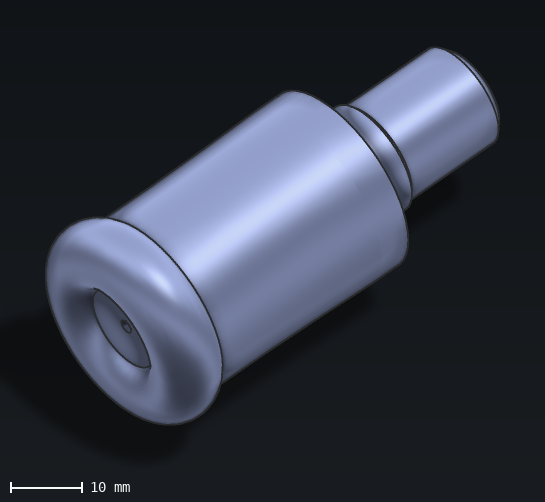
import cadquery as cq
import math

length = 67.0

lip_radius = 16.0
lip_section_radius = 5.0
lip_ring_radius = lip_radius - lip_section_radius

dish_radius = 6.35
dish_depth = 0.6
centre_hole_radius = 1.0
centre_hole_depth = centre_hole_radius

grip_front_radius = 14.1
grip_middle_radius = 14.15
band_radius = 14.5
band_front = 38.1
band_back = 43.15

collar_radius = 8.65
collar_back = 49.6
collar_chamfer = 0.6
shank_radius = 8.0
shank_chamfer = 1.35


def lip_offset(radius):
    """Axial distance from the lip's widest plane to its section circle at a radius."""
    return math.sqrt(lip_section_radius**2 - (radius - lip_ring_radius) ** 2)


lip_centre = lip_section_radius
grip_front = lip_centre + lip_offset(grip_front_radius)
grip_middle = (grip_front + band_front) / 2
dish_edge = lip_centre - lip_offset(dish_radius)
dish_centre = dish_edge + dish_depth
hole_rim = dish_centre - dish_depth * centre_hole_radius / dish_radius

profile = (
    cq.Workplane("XY")
    .moveTo(0, hole_rim + centre_hole_depth)
    .lineTo(centre_hole_radius, hole_rim)
    .lineTo(dish_radius, dish_edge)
    .threePointArc((lip_radius, lip_centre), (grip_front_radius, grip_front))
    .threePointArc((grip_middle_radius, grip_middle), (band_radius, band_front))
    .lineTo(band_radius, band_back)
    .lineTo(collar_radius, band_back)
    .lineTo(collar_radius, collar_back - collar_chamfer)
    .lineTo(shank_radius, collar_back)
    .lineTo(shank_radius, length - shank_chamfer)
    .lineTo(shank_radius - shank_chamfer, length)
    .lineTo(0, length)
    .close()
)

result = profile.revolve(360, (0, 0, 0), (0, 1, 0))